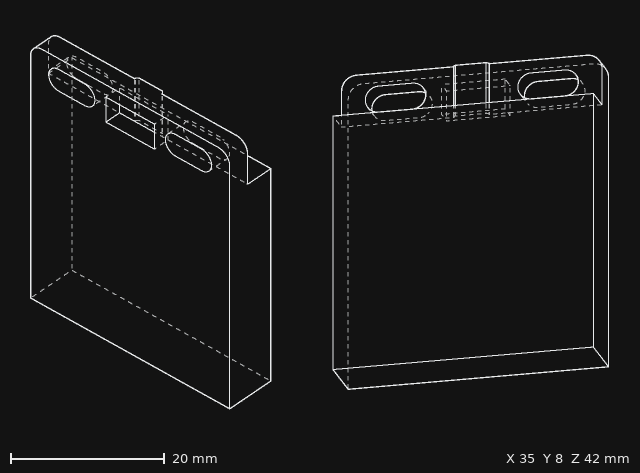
import cadquery as cq

width = 35.0
depth = 8.0
height = 42.0
block_height = width
flange_thickness = 3.5
corner_radius = 2.0

slot_length = 8.1
slot_height = 3.55
slot_offset = 10.25
slot_drop = 3.55

pocket_width = 8.53
pocket_height = 4.1
pocket_depth = 2.65
pocket_drop = 2.0

pad_width = 4.8
pad_thickness = 0.5
pad_chamfer = 0.35


def box(size_x, size_y, size_z):
    """Box centred on X, with its front at Y = 0 and its base at Z = 0."""
    return cq.Workplane("XY").box(size_x, size_y, size_z, centered=(True, False, False))


def make_flange():
    plate = box(width, flange_thickness, height)
    return plate.edges("|Y and >Z").fillet(corner_radius)


def make_pad():
    pad_height = height - block_height
    pad = box(pad_width, flange_thickness + pad_thickness, pad_height)
    pad = pad.edges("|Z and >Y").chamfer(pad_chamfer)
    return pad.translate((0, 0, block_height))


def make_slots():
    slot_z = height - slot_drop
    return (
        cq.Workplane("XZ")
        .pushPoints([(side * slot_offset, slot_z) for side in (-1, 1)])
        .slot2D(slot_length, slot_height)
        .extrude(-flange_thickness)
    )


def make_pocket():
    pocket_floor_z = height - pocket_drop - pocket_height
    return box(pocket_width, pocket_depth, pocket_height).translate((0, 0, pocket_floor_z))


body = box(width, depth, block_height).union(make_flange()).union(make_pad())
result = body.cut(make_slots()).cut(make_pocket())